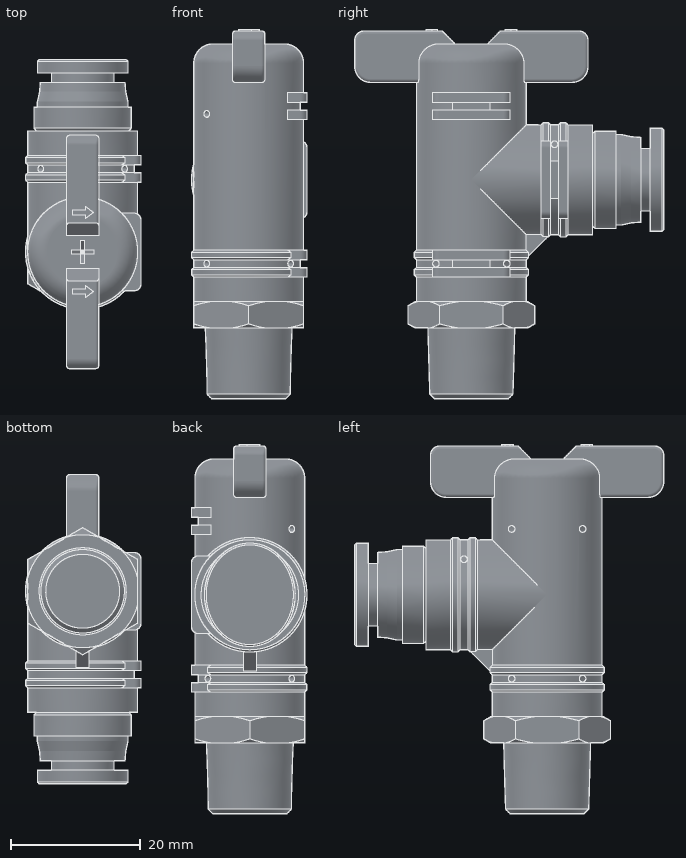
import cadquery as cq
import math


body_radius = 8.5
body_top = 54.75
dome_radius = 3.0
branch_z = 33.75

thread_tip_radius = 6.45
thread_root_radius = 6.7
thread_chamfer = 0.75
hex_bottom = 10.95
hex_top = 15.0
hex_corner_radius = body_radius / math.cos(math.radians(30))
hex_chamfer_height = 0.6
hex_chamfer_width = hex_chamfer_height / math.tan(math.radians(30))

branch_end = 18.7
collar_start = 19.1
collar_end = 22.3
collar_radius = 7.5
collar_chamfer = 0.35
nose_radius = 7.0
nose_taper_start = 23.1
nose_taper_end = 24.65
nose_end = 26.15
nose_tip_radius = 6.55
nose_middle_radius = 6.65
stem_radius = 4.85
flange_start = 27.55
flange_end = 29.65
flange_half_width = 7.0
flange_half_height = 8.0
flange_chamfer = 0.3

band_width = 1.5
band_pitch = 2.7
ring_height = 0.35
ring_radius = body_radius + ring_height
lower_pair_z = 20.85
upper_pair_z = 45.1
branch_pair_y = 12.8
lug_reach = 9.0
lug_half_length = 6.0
lug_corner_radius = 1.0
lug_flat_x = 8.0

hole_floor_radius = 7.45
hole_diameter = 1.0
hole_offset = 5.45
upper_hole_z = 43.9

gusset_thickness = 2.0
gusset_reach = 12.1
gusset_inner = 5.7

handle_half_length = 18.0
handle_width = 5.0
handle_bottom = 48.75
handle_top = 56.7
handle_top_corner = 1.5
handle_bottom_corner = 2.5
handle_edge_radius = 0.5
notch_half_width = 2.5

cross_length = 3.5
cross_width = 0.6
arrow_height = 0.2
arrow_y = 6.1
arrow_tail_x = -1.55
arrow_neck_x = 0.45
arrow_tip_x = 1.65
arrow_shaft_half_width = 0.4
arrow_head_half_width = 0.9


def lay_on_branch(shape):
    """Turn a shape built about Z so that its +Z runs along the branch."""
    return shape.rotate((0, 0, 0), (1, 0, 0), -90).translate((0, 0, branch_z))


def band_centers(pair_center):
    return [pair_center - band_pitch / 2, pair_center + band_pitch / 2]


def add_rings(outline, pair_center):
    """Continue a turned outline, up its axis, over two raised rings with bevelled edges."""
    for center in band_centers(pair_center):
        start = center - band_width / 2
        end = center + band_width / 2
        outline = (
            outline.lineTo(body_radius, start)
            .lineTo(ring_radius, start + ring_height)
            .lineTo(ring_radius, end - ring_height)
            .lineTo(body_radius, end)
        )
    return outline


def make_upright():
    """Thread, ringed body and domed top as one turned shape."""
    outline = (
        cq.Workplane("YZ")
        .moveTo(0, 0)
        .lineTo(thread_tip_radius - thread_chamfer, 0)
        .lineTo(thread_tip_radius, thread_chamfer)
        .lineTo(thread_root_radius, hex_bottom)
        .lineTo(body_radius, hex_bottom)
    )
    return (
        add_rings(outline, lower_pair_z)
        .lineTo(body_radius, body_top - dome_radius)
        .radiusArc((body_radius - dome_radius, body_top), -dome_radius)
        .lineTo(0, body_top)
        .close()
        .revolve(360, (0, 0), (0, 1))
        .rotate((0, 0, 0), (0, 0, 1), 180)
    )


def make_hexagon():
    """Hexagon with flats on +-X and its corners chamfered above and below."""
    prism = (
        cq.Workplane("XY")
        .workplane(offset=hex_bottom)
        .polygon(6, 2 * hex_corner_radius)
        .extrude(hex_top - hex_bottom)
        .rotate((0, 0, 0), (0, 0, 1), 90)
    )
    face_radius = hex_corner_radius - hex_chamfer_width
    envelope = (
        cq.Workplane("XZ")
        .moveTo(0, hex_bottom)
        .lineTo(face_radius, hex_bottom)
        .lineTo(hex_corner_radius, hex_bottom + hex_chamfer_height)
        .lineTo(hex_corner_radius, hex_top - hex_chamfer_height)
        .lineTo(face_radius, hex_top)
        .lineTo(0, hex_top)
        .close()
        .revolve(360, (0, 0), (0, 1))
    )
    return prism.intersect(envelope)


def make_branch():
    """Ringed branch, collar, nose and stem turned about Z and then laid along +Y."""
    outline = cq.Workplane("YZ").moveTo(0, 0).lineTo(body_radius, 0)
    branch = (
        add_rings(outline, branch_pair_y)
        .lineTo(body_radius, branch_end)
        .lineTo(collar_radius - collar_chamfer, branch_end)
        .lineTo(collar_radius, collar_start)
        .lineTo(collar_radius, collar_end)
        .lineTo(nose_radius, collar_end)
        .lineTo(nose_radius, nose_taper_start)
        .lineTo(nose_middle_radius, nose_taper_end)
        .lineTo(nose_tip_radius, nose_end)
        .lineTo(stem_radius, nose_end)
        .lineTo(stem_radius, flange_start)
        .lineTo(0, flange_start)
        .close()
        .revolve(360, (0, 0), (0, 1))
    )
    return lay_on_branch(branch)


def make_flange():
    """Oval release flange with a chamfered rim at the end of the branch."""
    return (
        cq.Workplane("XZ", origin=(0, flange_start, branch_z))
        .ellipse(flange_half_width, flange_half_height)
        .extrude(flange_start - flange_end)
        .faces(">Y")
        .chamfer(flange_chamfer)
    )


def make_lugs(pair_center):
    """Two flat lugs that reach out from the Z axis toward +X."""
    lugs = cq.Workplane("XY")
    for center in band_centers(pair_center):
        lug = (
            cq.Workplane("XY")
            .box(lug_reach, 2 * lug_half_length, band_width, centered=(False, True, True))
            .edges("|Z and >X")
            .fillet(lug_corner_radius)
            .translate((0, 0, center))
        )
        lugs = lugs.add(lug)
    return lugs.combine()


def make_lug_gap(pair_center):
    """Cutter for the flat on the wall between two lugs."""
    return (
        cq.Workplane("XY")
        .box(ring_radius, 2 * lug_half_length, band_pitch - band_width, centered=(False, True, True))
        .translate((lug_flat_x, 0, pair_center))
    )


def make_gusset():
    """Triangular web with a 45 degree edge between the branch and the body."""
    top = branch_z - body_radius
    return (
        cq.Workplane("YZ")
        .moveTo(gusset_reach, top)
        .lineTo(gusset_inner, top - (gusset_reach - gusset_inner))
        .lineTo(gusset_inner, branch_z)
        .lineTo(gusset_reach, branch_z)
        .close()
        .extrude(gusset_thickness / 2, both=True)
    )


def make_handle():
    """Handle bar along Y with rounded corners and edges and a V notch over the dome."""
    height = handle_top - handle_bottom
    bar = (
        cq.Workplane("XY")
        .box(handle_width, 2 * handle_half_length, height, centered=(True, True, False))
        .translate((0, 0, handle_bottom))
        .edges("|X and >Z")
        .fillet(handle_top_corner)
        .edges("|X and <Z")
        .fillet(handle_bottom_corner)
        .faces("<X or >X")
        .edges()
        .fillet(handle_edge_radius)
    )
    notch_top_half_width = notch_half_width + handle_top - body_top
    notch = (
        cq.Workplane("YZ")
        .moveTo(-notch_half_width, body_top)
        .lineTo(notch_half_width, body_top)
        .lineTo(notch_top_half_width, handle_top)
        .lineTo(-notch_top_half_width, handle_top)
        .close()
        .extrude(handle_width, both=True)
    )
    return bar.cut(notch)


def make_arrow(y):
    """Raised arrow on the handle that points toward +X."""
    return (
        cq.Workplane("XY", origin=(0, y, handle_top))
        .moveTo(arrow_tail_x, -arrow_shaft_half_width)
        .lineTo(arrow_neck_x, -arrow_shaft_half_width)
        .lineTo(arrow_neck_x, -arrow_head_half_width)
        .lineTo(arrow_tip_x, 0)
        .lineTo(arrow_neck_x, arrow_head_half_width)
        .lineTo(arrow_neck_x, arrow_shaft_half_width)
        .lineTo(arrow_tail_x, arrow_shaft_half_width)
        .close()
        .extrude(arrow_height)
    )


def make_cross_recess():
    """Two crossed V cuts whose floors slope down to the centre at 45 degrees."""
    half_length = cross_length / 2
    arm = (
        cq.Workplane("XZ")
        .moveTo(-half_length, body_top)
        .lineTo(half_length, body_top)
        .lineTo(0, body_top - half_length)
        .close()
        .extrude(cross_width / 2, both=True)
    )
    return arm.union(arm.rotate((0, 0, 0), (0, 0, 1), 90))


def make_pin_holes(y_positions, sides):
    """Cutter for pin holes along X at Z = 0, each ending on a core concentric with the Z axis."""
    core = cq.Workplane("XY").circle(hole_floor_radius).extrude(hole_diameter, both=True)
    holes = cq.Workplane("XY")
    for y in y_positions:
        for side in sides:
            hole = cq.Workplane("YZ").center(y, 0).circle(hole_diameter / 2).extrude(side * ring_radius)
            holes = holes.add(hole.cut(core))
    return holes.combine()


result = make_upright().union(make_hexagon()).union(make_branch()).union(make_flange())
result = result.union(make_gusset())
result = result.union(make_lugs(lower_pair_z))
result = result.union(make_lugs(upper_pair_z))
result = result.union(lay_on_branch(make_lugs(branch_pair_y)))

result = result.cut(make_lug_gap(lower_pair_z)).cut(make_lug_gap(upper_pair_z))
result = result.cut(lay_on_branch(make_lug_gap(branch_pair_y)))

both_sides = (-1, 1)
body_hole_rows = (-hole_offset, hole_offset)
lower_holes = make_pin_holes(body_hole_rows, both_sides).translate((0, 0, lower_pair_z))
upper_holes = make_pin_holes(body_hole_rows, both_sides[:1]).translate((0, 0, upper_hole_z))
branch_holes = make_pin_holes([-hole_offset], both_sides).translate((0, 0, branch_pair_y))
result = result.cut(lower_holes).cut(upper_holes).cut(lay_on_branch(branch_holes))

result = result.union(make_handle())
for arrow_center in (-arrow_y, arrow_y):
    result = result.union(make_arrow(arrow_center))
result = result.cut(make_cross_recess())